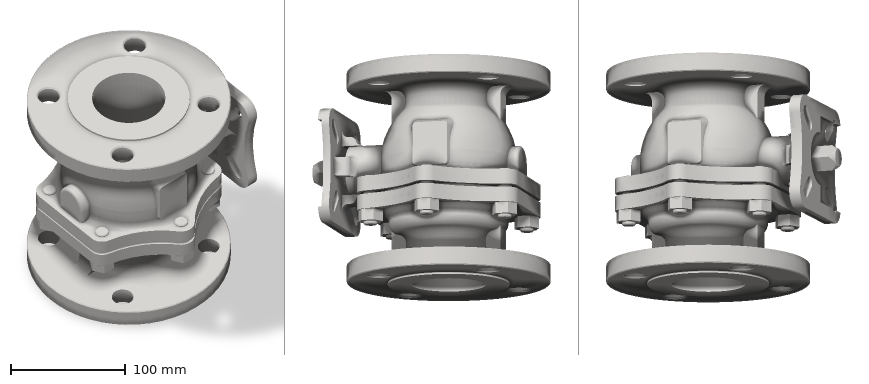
import cadquery as cq
import math


LENGTH = 190.5
HALF_LENGTH = LENGTH / 2
RAISED_FACE_DIAMETER = 106.5
RAISED_FACE_HEIGHT = 1.79
FLANGE_DIAMETER = 178.0
FLANGE_THICKNESS = 16.0
FLANGE_CHAMFER = 0.8
FLANGE_HOLE_DIAMETER = 19
FLANGE_HOLE_CHAMFER = 1.3
FLANGE_HOLE_OFFSET = 49.5
BORE_DIAMETER = 64.0
FLANGE_FACE = HALF_LENGTH - RAISED_FACE_HEIGHT
FLANGE_BACK = FLANGE_FACE - FLANGE_THICKNESS

BOLT_COUNT = 6
BOLT_CIRCLE_RADIUS = 70.3
BOLT_DIAMETER = 12.0
BOLT_TOP = -1.7
BOLT_BOTTOM = -45.0
BOLT_CHAMFER = 0.8
NUT_SIDES = 6
NUT_ACROSS_FLATS = 19.4
NUT_HEIGHT = 9.9
JOINT_TOP = -3.5
JOINT_THICKNESS = 13.0
JOINT_GAP = 2.7
JOINT_CORNER_RADIUS = 11.8
JOINT_WAIST_RADIUS = 90.5
JOINT_WAISTED_SIDES = (0, 2, 3, 5)
GASKET_RADIUS = 61.9
LOWER_JOINT_TOP = JOINT_TOP - JOINT_THICKNESS - JOINT_GAP
JOINT_BOTTOM = LOWER_JOINT_TOP - JOINT_THICKNESS

BALL_RADIUS = 59.5
BALL_CENTER_Z = 14.7
BALL_BASE_FILLET = 5.5
UPPER_NECK_RADIUS = 38.3
NECK_FLANGE_FILLET = 7.4
SHOULDER_START_Z = 66.0

LOWER_BODY_RADIUS = 52.2
LOWER_FLARE_RADIUS = 4.2
LOWER_FLARE_SLOPE = 33
LOWER_NECK_RADIUS = 37.3
LOWER_SHOULDER_Z = -40.6
LOWER_NECK_TOP = -58.3
LOWER_SHOULDER_RADIUS = 9.7

RIB_WIDTH = 17.7
RIB_REACH = 49.3
RIB_FILLET = 7.5
LOWER_RIB_TOP = -45.9
PAD_FACE_X = 60.0
PAD_WIDTH = 31.2
PAD_BOTTOM = 1.0
PAD_TOP = 39.2
PAD_DEPTH = 12.6
PAD_CORNER_RADIUS = 3.0
PAD_DRAFT = 23
LUG_FACE_Y = 67.1
LUG_RADIUS = 15.2
LUG_EDGE_FILLET = 2.7

STEM_AXIS_Z = 9.3
STEM_HOUSING_RADIUS = 22.3
STEM_HOUSING_END = 88.0
STEM_RADIUS = 22.5 / 2
STEM_FLATS = 17.3
OVERALL_DEPTH = 210.5
STEM_END = OVERALL_DEPTH - FLANGE_DIAMETER / 2
STEM_TIP_RADIUS = 8.0
STEM_TIP_LENGTH = 5.7
PLATE_BACK = 94.3
PLATE_THICKNESS = 10.0
PLATE_WIDTH = 100.6
PLATE_CORNER_RADIUS = 13.9
PLATE_WAIST_RADIUS = 109.5
PLATE_FRONT = PLATE_BACK + PLATE_THICKNESS
PLATE_WAISTED_SIDES = (1, 3)
RECESS_DEPTH = 3.4
RECESS_HEIGHT = 77.0
RECESS_DIAMETER = 47.0
SLOT_WIDTH = 11.0
SLOT_INNER_RADIUS = 36.6
SLOT_OUTER_RADIUS = 50.5

LEG_WIDTH = 16.5
LEG_INNER = 21.7
LEG_OUTER = 29.7
LEG_PLATE_FILLET = 5.0
LEG_SHOULDER_RADIUS = 5.5
LEG_SHOULDER_Y = 87.1
LEG_TIP_Y = 77.5


def cylinder_z(radius, bottom, top):
    return cq.Workplane("XY").workplane(offset=bottom).circle(radius).extrude(top - bottom)


def along_y(start):
    """Sketch plane facing +Y at y = start, centred on the stem axis: local x = -X, local y = Z."""
    return cq.Workplane(cq.Plane((0, start, STEM_AXIS_Z), (-1, 0, 0), (0, 1, 0)))


def polar_point(center, radius, degrees):
    angle = math.radians(degrees)
    return (center[0] + radius * math.cos(angle), center[1] + radius * math.sin(angle))


def tangent_blend(center, radius, wall, end):
    """Concave arc touching a round of the given centre and radius, and the line x = wall at y = end.

    Returns its radius, its centre and the angle from the round's centre to the touching point.
    """
    offset = wall - center[0]
    drop = end - center[1]
    blend_radius = (offset**2 + drop**2 - radius**2) / (2 * (radius - offset))
    blend_center = (wall + blend_radius, end)
    angle = math.degrees(math.atan2(drop, blend_center[0] - center[0]))
    return blend_radius, blend_center, angle


def waisted_outline(plane, corners, corner_radius, waist_radius, waisted_sides):
    """Closed outline rounded about counter-clockwise corner points.

    Side i runs from corner i to the next one. The sides listed as waisted are concave arcs tangent
    to their corner rounds and the other sides are straight.
    """
    count = len(corners)
    normals = []
    tilts = []
    for i in range(count):
        start, end = corners[i], corners[(i + 1) % count]
        normals.append(math.degrees(math.atan2(end[1] - start[1], end[0] - start[0])) - 90)
        ratio = math.dist(start, end) / 2 / (corner_radius + waist_radius)
        tilts.append(math.degrees(math.asin(ratio)) if i in waisted_sides else 0)

    outline = plane.moveTo(*polar_point(corners[0], corner_radius, normals[0] + tilts[0]))
    for i in range(count):
        following = (i + 1) % count
        start, end = corners[i], corners[following]
        arrival = normals[i] - tilts[i]
        side_end = polar_point(end, corner_radius, arrival)
        if i in waisted_sides:
            middle = ((start[0] + end[0]) / 2, (start[1] + end[1]) / 2)
            tangent_reach = (corner_radius + waist_radius) * math.cos(math.radians(tilts[i]))
            waist = polar_point(middle, tangent_reach - waist_radius, normals[i])
            outline = outline.threePointArc(waist, side_end)
        else:
            outline = outline.lineTo(*side_end)
        turn = (normals[following] + tilts[following] - arrival) % 360
        outline = outline.threePointArc(
            polar_point(end, corner_radius, arrival + turn / 2),
            polar_point(end, corner_radius, arrival + turn),
        )
    return outline.close()


def end_flange():
    flange = cylinder_z(FLANGE_DIAMETER / 2, FLANGE_BACK, FLANGE_FACE)
    flange = flange.edges().chamfer(FLANGE_CHAMFER)
    holes = (
        cq.Workplane("XY").workplane(offset=FLANGE_BACK)
        .rect(2 * FLANGE_HOLE_OFFSET, 2 * FLANGE_HOLE_OFFSET, forConstruction=True).vertices()
        .circle(FLANGE_HOLE_DIAMETER / 2).extrude(FLANGE_THICKNESS)
    )
    flange = flange.cut(holes)
    hole_rims = flange.faces(">Z").edges(cq.selectors.RadiusNthSelector(0))
    flange = hole_rims.chamfer(FLANGE_HOLE_CHAMFER)
    return flange.union(cylinder_z(RAISED_FACE_DIAMETER / 2, FLANGE_BACK, HALF_LENGTH))


def upper_body():
    ball_center = (0, BALL_CENTER_Z)
    shoulder_radius, shoulder_center, tilt = tangent_blend(
        ball_center, BALL_RADIUS, UPPER_NECK_RADIUS, SHOULDER_START_Z
    )
    base_fillet_center = (BALL_RADIUS + BALL_BASE_FILLET, JOINT_TOP + BALL_BASE_FILLET)
    flange_fillet_center = (UPPER_NECK_RADIUS + NECK_FLANGE_FILLET, FLANGE_BACK - NECK_FLANGE_FILLET)
    profile = (
        cq.Workplane("XZ").moveTo(0, JOINT_TOP)
        .lineTo(base_fillet_center[0], JOINT_TOP)
        .threePointArc(
            polar_point(base_fillet_center, BALL_BASE_FILLET, 225),
            (BALL_RADIUS, base_fillet_center[1]),
        )
        .lineTo(BALL_RADIUS, BALL_CENTER_Z)
        .threePointArc(
            polar_point(ball_center, BALL_RADIUS, tilt / 2),
            polar_point(ball_center, BALL_RADIUS, tilt),
        )
        .threePointArc(
            polar_point(shoulder_center, shoulder_radius, 180 + tilt / 2),
            (UPPER_NECK_RADIUS, SHOULDER_START_Z),
        )
        .lineTo(UPPER_NECK_RADIUS, flange_fillet_center[1])
        .threePointArc(
            polar_point(flange_fillet_center, NECK_FLANGE_FILLET, 135),
            (flange_fillet_center[0], FLANGE_BACK),
        )
        .lineTo(0, FLANGE_BACK)
        .close()
    )
    return profile.revolve(360, (0, 0), (0, 1))


def lower_body():
    shoulder_center = (LOWER_BODY_RADIUS - LOWER_SHOULDER_RADIUS, LOWER_SHOULDER_Z)
    neck_blend, neck_center, tilt = tangent_blend(
        shoulder_center, LOWER_SHOULDER_RADIUS, LOWER_NECK_RADIUS, LOWER_NECK_TOP
    )
    flare_center = (LOWER_BODY_RADIUS + LOWER_FLARE_RADIUS, LOWER_SHOULDER_Z)
    flare_normal = 90 + LOWER_FLARE_SLOPE
    flare_start = polar_point(flare_center, LOWER_FLARE_RADIUS, flare_normal)
    cone_run = (JOINT_BOTTOM - flare_start[1]) / math.tan(math.radians(LOWER_FLARE_SLOPE))
    flange_fillet_center = (LOWER_NECK_RADIUS + NECK_FLANGE_FILLET, NECK_FLANGE_FILLET - FLANGE_BACK)
    profile = (
        cq.Workplane("XZ").moveTo(0, JOINT_BOTTOM)
        .lineTo(flare_start[0] + cone_run, JOINT_BOTTOM)
        .lineTo(*flare_start)
        .threePointArc(
            polar_point(flare_center, LOWER_FLARE_RADIUS, (flare_normal + 180) / 2),
            (LOWER_BODY_RADIUS, LOWER_SHOULDER_Z),
        )
        .threePointArc(
            polar_point(shoulder_center, LOWER_SHOULDER_RADIUS, tilt / 2),
            polar_point(shoulder_center, LOWER_SHOULDER_RADIUS, tilt),
        )
        .threePointArc(
            polar_point(neck_center, neck_blend, 180 + tilt / 2),
            (LOWER_NECK_RADIUS, LOWER_NECK_TOP),
        )
        .lineTo(LOWER_NECK_RADIUS, flange_fillet_center[1])
        .threePointArc(
            polar_point(flange_fillet_center, NECK_FLANGE_FILLET, 225),
            (flange_fillet_center[0], -FLANGE_BACK),
        )
        .lineTo(0, -FLANGE_BACK)
        .close()
    )
    return profile.revolve(360, (0, 0), (0, 1))


def bolt_positions():
    """Bolt centres, counter-clockwise from the one on +X."""
    step = 360 / BOLT_COUNT
    return [polar_point((0, 0), BOLT_CIRCLE_RADIUS, i * step) for i in range(BOLT_COUNT)]


def joint_flange(bottom):
    """Hexagon rounded about the bolts, with waisted sides except the two straight ones facing Y."""
    plane = cq.Workplane("XY").workplane(offset=bottom)
    outline = waisted_outline(
        plane, bolt_positions(), JOINT_CORNER_RADIUS, JOINT_WAIST_RADIUS, JOINT_WAISTED_SIDES
    )
    return outline.extrude(JOINT_THICKNESS)


def bolts():
    shank = cylinder_z(BOLT_DIAMETER / 2, BOLT_BOTTOM, BOLT_TOP).edges().chamfer(BOLT_CHAMFER)
    nut = (
        cq.Workplane("XY").workplane(offset=JOINT_BOTTOM)
        .transformed(rotate=(0, 0, 90))
        .polygon(NUT_SIDES, NUT_ACROSS_FLATS / math.cos(math.pi / NUT_SIDES)).extrude(-NUT_HEIGHT)
    )
    bolt = shank.union(nut)
    group = cq.Workplane("XY")
    for x, y in bolt_positions():
        group = group.union(bolt.translate((x, y, 0)))
    return group


def rib(inner_z):
    """Rib on both Y sides of a neck, flaring into the back of the upper end flange."""
    outer = RIB_REACH + RIB_FILLET
    fillet_center = (outer, FLANGE_BACK - RIB_FILLET)
    half = (
        cq.Workplane("YZ").workplane(offset=-RIB_WIDTH / 2)
        .moveTo(0, inner_z).lineTo(RIB_REACH, inner_z)
        .lineTo(RIB_REACH, FLANGE_BACK - RIB_FILLET)
        .threePointArc(polar_point(fillet_center, RIB_FILLET, 135), (outer, FLANGE_BACK))
        .lineTo(0, FLANGE_BACK).close()
        .extrude(RIB_WIDTH)
    )
    return half.union(half.mirror("XZ"))


def side_pad():
    """Drafted pad on the +X side, widening from its flat face into the ball housing."""
    height = PAD_TOP - PAD_BOTTOM
    face = cq.Sketch().rect(PAD_WIDTH, height).vertices().fillet(PAD_CORNER_RADIUS)
    plane = cq.Plane((PAD_FACE_X, 0, PAD_BOTTOM + height / 2), (0, -1, 0), (-1, 0, 0))
    return cq.Workplane(plane).placeSketch(face).extrude(PAD_DEPTH, taper=-PAD_DRAFT)


def front_lug():
    drop = STEM_AXIS_Z - JOINT_TOP
    lug = (
        along_y(-LUG_FACE_Y)
        .moveTo(-LUG_RADIUS, -drop).lineTo(-LUG_RADIUS, 0)
        .threePointArc((0, LUG_RADIUS), (LUG_RADIUS, 0))
        .lineTo(LUG_RADIUS, -drop).close()
        .extrude(LUG_FACE_Y)
    )
    arch = lug.faces("<Y").edges("not(<Z)")
    return arch.fillet(LUG_EDGE_FILLET)


def stem():
    """Round stem whose end is squared, with the corners of the square on the X and Z directions."""
    round_bar = along_y(0).circle(STEM_RADIUS).extrude(STEM_END)
    tip_chamfer = STEM_RADIUS - STEM_TIP_RADIUS
    round_bar = round_bar.faces(">Y").edges().chamfer(STEM_TIP_LENGTH, tip_chamfer)
    square = along_y(0).transformed(rotate=(0, 0, 45)).rect(STEM_FLATS, STEM_FLATS).extrude(STEM_END)
    housing = along_y(0).circle(STEM_HOUSING_RADIUS).extrude(STEM_HOUSING_END)
    return round_bar.intersect(square).union(housing)


def mounting_plate():
    reach = PLATE_WIDTH / 2 - PLATE_CORNER_RADIUS
    corners = [(-reach, -reach), (reach, -reach), (reach, reach), (-reach, reach)]
    outline = waisted_outline(
        along_y(PLATE_BACK), corners, PLATE_CORNER_RADIUS, PLATE_WAIST_RADIUS, PLATE_WAISTED_SIDES
    )
    plate = outline.extrude(PLATE_THICKNESS)

    open_half = (
        along_y(PLATE_FRONT).center(PLATE_WIDTH / 4, 0)
        .rect(PLATE_WIDTH / 2, RECESS_HEIGHT).extrude(-RECESS_DEPTH)
    )
    spigot_seat = along_y(PLATE_FRONT).circle(RECESS_DIAMETER / 2).extrude(-RECESS_DEPTH)
    plate = plate.cut(open_half).cut(spigot_seat)

    slot_length = SLOT_OUTER_RADIUS - SLOT_INNER_RADIUS + SLOT_WIDTH
    slot_middle = (SLOT_OUTER_RADIUS + SLOT_INNER_RADIUS) / 2
    for angle in (45, 135, 225, 315):
        slot = (
            along_y(PLATE_BACK).transformed(rotate=(0, 0, angle))
            .center(slot_middle, 0).slot2D(slot_length, SLOT_WIDTH).extrude(PLATE_THICKNESS)
        )
        plate = plate.cut(slot)
    return plate


def plate_legs():
    """Four legs around the stem axis, drawn with local x as the distance from that axis."""
    fillet_center = (LEG_OUTER + LEG_PLATE_FILLET, PLATE_BACK - LEG_PLATE_FILLET)
    shoulder_center = (LEG_OUTER - LEG_SHOULDER_RADIUS, LEG_SHOULDER_Y)
    tip_radius, tip_center, tilt = tangent_blend(
        shoulder_center, LEG_SHOULDER_RADIUS, STEM_HOUSING_RADIUS, LEG_TIP_Y
    )
    leg = (
        cq.Workplane("XY").workplane(offset=STEM_AXIS_Z - LEG_WIDTH / 2)
        .moveTo(LEG_INNER, PLATE_BACK).lineTo(fillet_center[0], PLATE_BACK)
        .threePointArc(
            polar_point(fillet_center, LEG_PLATE_FILLET, 135),
            (LEG_OUTER, fillet_center[1]),
        )
        .lineTo(LEG_OUTER, LEG_SHOULDER_Y)
        .threePointArc(
            polar_point(shoulder_center, LEG_SHOULDER_RADIUS, tilt / 2),
            polar_point(shoulder_center, LEG_SHOULDER_RADIUS, tilt),
        )
        .threePointArc(
            polar_point(tip_center, tip_radius, 180 + tilt / 2),
            (STEM_HOUSING_RADIUS, LEG_TIP_Y),
        )
        .lineTo(LEG_INNER, LEG_TIP_Y).close()
        .extrude(LEG_WIDTH)
    )
    legs = cq.Workplane("XY")
    for angle in (0, 90, 180, 270):
        legs = legs.union(leg.rotate((0, 0, STEM_AXIS_Z), (0, 1, STEM_AXIS_Z), angle))
    return legs


body = end_flange().union(end_flange().mirror("XY"))
body = body.union(upper_body()).union(lower_body())
body = body.union(rib(BALL_CENTER_Z)).union(rib(-LOWER_RIB_TOP).mirror("XY"))
body = body.union(side_pad()).union(side_pad().mirror("YZ")).union(front_lug())

body = body.union(joint_flange(JOINT_TOP - JOINT_THICKNESS)).union(joint_flange(JOINT_BOTTOM))
body = body.union(cylinder_z(GASKET_RADIUS, LOWER_JOINT_TOP, LOWER_JOINT_TOP + JOINT_GAP))
body = body.union(bolts())

body = body.union(stem()).union(plate_legs()).union(mounting_plate())
result = body.cut(cylinder_z(BORE_DIAMETER / 2, -HALF_LENGTH, HALF_LENGTH))